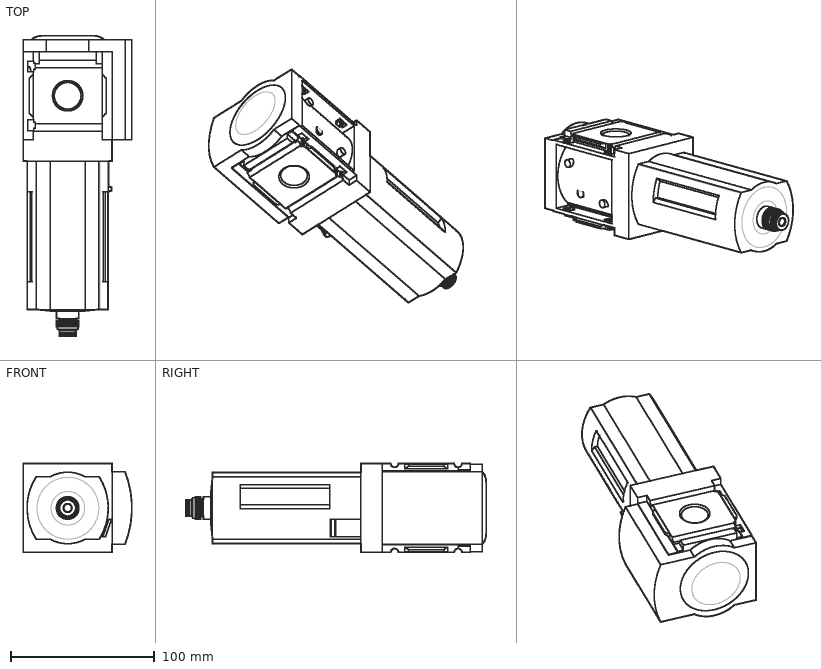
import cadquery as cq
import math


head_width = 62.0
half_width = head_width / 2
head_length = 84.5
collar_length = 14.7
core_half_height = 25.3
rail_half_height = 25.8
rear_strip_length = 8.4
pad_end = head_length - rear_strip_length

dome_height = 2.7
dome_radius = core_half_height
dome_flat_radius = 18.0

cover_end = 44.8
cover_shoulder = 40.0

strip_bulge_half_width = 14.9
strip_bulge_top = 30.5

pad_half_width = 24.0
pad_step_half_width = 19.9
pad_step_height = 26.5
groove_radius = 2.62
groove_ys = (23.5, 67.6)
port_y = 45.5
port_diameter = 18.6
port_rim_diameter = 21.1
port_depth = 21.0

lug_overhang = 2.7
lug_base_length = 29.7
lug_outer_length = 24.3
lug_bottom = 27.2
lug_slope_top = 29.0
lug_top = 30.5

slot_ys = (25.0, 66.0)
slot_wide_length = 7.3
slot_narrow_length = 4.2
slot_outer_x = 27.6
slot_step_x = 23.7
slot_inner_x = 22.5

window_start = 17.2
window_end = 73.3
window_half_height = 23.0
window_floor_x = 19.5
bulge_apex_x = 29.3
bulge_half_height = 21.0
bulge_edge_x = 20.0
bulge_foot_half_height = 22.5
studs = (
    (-30.0, 62.8, 11.0, 5.5),
    (-28.5, 51.5, -8.4, 6.0),
    (-30.0, 28.0, -11.0, 5.5),
)

bowl_length = 103.5
bowl_radius = 25.0
bowl_half_height = 21.8
bowl_shoulder_x = 21.8
bowl_bevel = 0.5
bowl_side_x = 28.3

end_cone_radius = 21.5
end_flat_radius = 11.7
end_cone_height = 1.0

sight_start = 21.5
sight_length = 62.4
sight_bottom = -0.5
sight_top = 16.3
sight_depth = 4.2
sight_slope_depth = 2.0
sight_wall_run = 2.7

nipple_radius = 7.85
flange_radius = 7.22
neck_radius = 5.75
barb_radius = 6.3
tail_radius = 5.55
tail_ring_radius = 5.9
nipple_bore_diameter = 5.5
nipple_rim_diameter = 6.0
nipple_bore_depth = 6.3
nipple_rim_depth = 0.6

latch_bottom = -19.9
latch_rise = (4.2, 12.0)
latch_root_x = 21.8
latch_face_x = 24.5
latch_knob_x = 26.4
latch_length = 21.4
latch_knob_length = 3.8
latch_knob_taper = 0.6


def block(x_range, y_range, z_range):
    """A box given by its limits along X, Y and Z."""
    sizes = [high - low for low, high in (x_range, y_range, z_range)]
    corner = (x_range[0], y_range[0], z_range[0])
    return cq.Workplane("XY").box(*sizes, centered=False).translate(corner)


def both_ways(size):
    return (-size, size)


def along_y(start):
    """An XZ sketch plane at y = start whose extrusions run toward -Y."""
    return cq.Workplane("XZ", origin=(0, start, 0))


def side_cover():
    return (
        along_y(head_length)
        .moveTo(0, -core_half_height)
        .lineTo(cover_shoulder, -core_half_height)
        .threePointArc((cover_end, 0), (cover_shoulder, core_half_height))
        .lineTo(0, core_half_height)
        .close()
        .extrude(head_length - collar_length)
    )


def rear_dome():
    rise = dome_height
    run = dome_radius - dome_flat_radius
    edge_radius = (run**2 + rise**2) / (2 * rise)
    half_angle = math.atan2(run, edge_radius - rise) / 2
    mid_point = (
        dome_flat_radius + edge_radius * math.sin(half_angle),
        head_length + rise - edge_radius * (1 - math.cos(half_angle)),
    )
    return (
        cq.Workplane("XY")
        .moveTo(0, head_length)
        .lineTo(dome_radius, head_length)
        .threePointArc(mid_point, (dome_flat_radius, head_length + rise))
        .lineTo(0, head_length + rise)
        .close()
        .revolve(360, (0, 0, 0), (0, 1, 0))
    )


def strip_bulge():
    return (
        along_y(head_length)
        .moveTo(-strip_bulge_half_width, 0)
        .lineTo(-strip_bulge_half_width, core_half_height)
        .threePointArc((0, strip_bulge_top), (strip_bulge_half_width, core_half_height))
        .lineTo(strip_bulge_half_width, 0)
        .close()
        .extrude(rear_strip_length)
    )


def pad_lugs():
    """The tapered lugs on both sides of the pad, undercut by a slope."""
    reach = pad_half_width + lug_overhang
    section = (
        along_y(pad_end)
        .polyline([
            (-pad_half_width, lug_bottom),
            (pad_half_width, lug_bottom),
            (reach, lug_slope_top),
            (reach, lug_top),
            (-reach, lug_top),
            (-reach, lug_slope_top),
        ])
        .close()
        .extrude(pad_end)
    )
    base = lug_base_length / 2
    tip = lug_outer_length / 2
    outline = (
        cq.Workplane("XY", origin=(0, port_y, 0))
        .polyline([
            (pad_half_width, -base),
            (reach, -tip),
            (reach, tip),
            (pad_half_width, base),
            (-pad_half_width, base),
            (-reach, tip),
            (-reach, -tip),
            (-pad_half_width, -base),
        ])
        .close()
        .extrude(half_width)
    )
    return section.intersect(outline)


def port_pad():
    step_y = groove_ys[1]
    heights = (0, half_width)
    pad = block(both_ways(pad_half_width), (0, step_y), heights)
    pad = pad.union(block(both_ways(pad_half_width), (step_y, pad_end), (0, pad_step_height)))
    pad = pad.union(block(both_ways(pad_step_half_width), (step_y, pad_end), heights))
    pad = pad.union(pad_lugs())
    for y in groove_ys:
        groove = cq.Workplane("YZ", origin=(-pad_half_width, y, half_width)).circle(groove_radius)
        pad = pad.cut(groove.extrude(2 * pad_half_width))
    return pad


def port():
    rim_depth = (port_rim_diameter - port_diameter) / 2
    bore = (
        cq.Workplane("XY", origin=(0, port_y, half_width))
        .circle(port_diameter / 2)
        .extrude(-port_depth)
    )
    rim = cq.Solid.makeCone(
        port_rim_diameter / 2,
        port_diameter / 2,
        rim_depth,
        cq.Vector(0, port_y, half_width),
        cq.Vector(0, 0, -1),
    )
    return bore.union(cq.Workplane(rim))


def rail_slots():
    """T-shaped slots from the top face through the rail into the side window."""
    heights = (bulge_half_height, half_width)
    slots = cq.Workplane("XY")
    for y in slot_ys:
        wide = both_ways(slot_wide_length / 2)
        narrow = both_ways(slot_narrow_length / 2)
        slot = block((-slot_outer_x, -slot_step_x), wide, heights)
        slot = slot.union(block((-slot_step_x, -slot_inner_x), narrow, heights))
        slots = slots.union(slot.translate((0, y, 0)))
    return slots


def window_cut():
    """The open side window, leaving a convex bulge standing on its floor."""
    length = window_end - window_start
    window = block(
        (-half_width, -window_floor_x),
        (window_start, window_end),
        both_ways(window_half_height),
    )
    bulge = (
        along_y(window_end)
        .moveTo(-window_floor_x, -bulge_foot_half_height)
        .lineTo(-bulge_edge_x, -bulge_half_height)
        .threePointArc((-bulge_apex_x, 0), (-bulge_edge_x, bulge_half_height))
        .lineTo(-window_floor_x, bulge_foot_half_height)
        .close()
        .extrude(length)
    )
    return window.cut(bulge)


def window_studs():
    pins = cq.Workplane("XY")
    for end_x, y, z, diameter in studs:
        pin = cq.Workplane("YZ", origin=(end_x, y, z)).circle(diameter / 2)
        pins = pins.union(pin.extrude(-window_floor_x - end_x))
    return pins


def make_head():
    width = both_ways(half_width)
    head = block(width, (0, head_length), both_ways(core_half_height))
    head = head.union(block(width, (0, pad_end), both_ways(rail_half_height)))
    head = head.union(block(width, (0, collar_length), width))
    head = head.union(side_cover()).union(rear_dome())

    upper = port_pad().union(strip_bulge())
    head = head.union(upper).union(upper.mirror("XY"))

    head = head.cut(window_cut())
    for cutter in (port(), rail_slots()):
        head = head.cut(cutter).cut(cutter.mirror("XY"))
    return head.union(window_studs())


side_edge_x = bowl_shoulder_x + bowl_bevel
side_edge_z = bowl_half_height - bowl_bevel


def bowl_barrel():
    barrel = along_y(0).circle(bowl_radius).extrude(bowl_length)
    flanks = (
        along_y(0)
        .moveTo(-bowl_shoulder_x, -bowl_half_height)
        .lineTo(bowl_shoulder_x, -bowl_half_height)
        .lineTo(side_edge_x, -side_edge_z)
        .threePointArc((bowl_side_x, 0), (side_edge_x, side_edge_z))
        .lineTo(bowl_shoulder_x, bowl_half_height)
        .lineTo(-bowl_shoulder_x, bowl_half_height)
        .lineTo(-side_edge_x, side_edge_z)
        .threePointArc((-bowl_side_x, 0), (-side_edge_x, -side_edge_z))
        .close()
        .extrude(bowl_length)
    )
    return barrel.union(flanks)


def side_x(z):
    """X of the curved bowl side at height z."""
    sagitta = bowl_side_x - side_edge_x
    radius = (side_edge_z**2 + sagitta**2) / (2 * sagitta)
    return bowl_side_x - radius + math.sqrt(radius**2 - z**2)


def sight_pocket():
    """Pocket in the +X side: sloping walls and a floor curved like the bowl."""
    floor_bottom = sight_bottom + sight_wall_run
    floor_top = sight_top - sight_wall_run
    floor_middle = (floor_bottom + floor_top) / 2
    return (
        along_y(-sight_start)
        .moveTo(side_x(sight_bottom), sight_bottom)
        .lineTo(side_x(floor_bottom) - sight_slope_depth, floor_bottom)
        .lineTo(side_x(floor_bottom) - sight_depth, floor_bottom)
        .threePointArc(
            (side_x(floor_middle) - sight_depth, floor_middle),
            (side_x(floor_top) - sight_depth, floor_top),
        )
        .lineTo(side_x(sight_top), sight_top)
        .lineTo(bowl_side_x + sight_depth, sight_top)
        .lineTo(bowl_side_x + sight_depth, sight_bottom)
        .close()
        .extrude(sight_length)
    )


def latch():
    """Slanted unlocking slide with a small knob at its end."""
    knob_start = latch_knob_length - latch_length
    outline = [
        (latch_root_x, 0),
        (latch_face_x, 0),
        (latch_face_x, knob_start),
        (latch_knob_x, knob_start - latch_knob_taper),
        (latch_knob_x, latch_knob_taper - latch_length),
        (latch_face_x, -latch_length),
        (latch_root_x, -latch_length),
    ]
    points = [cq.Vector(x, y, latch_bottom) for x, y in outline]
    wire = cq.Wire.makePolygon(points, close=True)
    rise_x, rise_z = latch_rise
    return cq.Workplane(cq.Solid.extrudeLinear(wire, [], cq.Vector(rise_x, 0, rise_z)))


def bowl_end():
    """Shallow end cone and the grooved drain nipple, turned about Y."""
    steps = [
        (5.2, nipple_radius),
        (1.0, neck_radius),
        (0.6, barb_radius),
        (1.0, nipple_radius),
        (1.0, barb_radius),
        (0.6, nipple_radius),
        (0.6, flange_radius),
        (0.6, nipple_radius),
        (1.9, flange_radius),
        (0.6, barb_radius),
        (1.5, tail_radius),
        (0.6, tail_ring_radius),
        (0.8, tail_radius),
        (1.3, tail_ring_radius),
    ]
    y = -bowl_length
    outline = [(0, y), (end_cone_radius, y)]
    y -= end_cone_height
    outline.append((end_flat_radius, y))
    for length, radius in steps:
        outline.append((radius, y))
        y -= length
        outline.append((radius, y))
    tip = y
    outline.append((0, tip))
    turned = cq.Workplane("XY").polyline(outline).close().revolve(360, (0, 0, 0), (0, 1, 0))

    mouth = along_y(tip + nipple_rim_depth).circle(nipple_rim_diameter / 2).extrude(nipple_rim_depth)
    bore = along_y(tip + nipple_bore_depth).circle(nipple_bore_diameter / 2).extrude(nipple_bore_depth)
    return turned.cut(mouth).cut(bore)


def make_bowl():
    bowl = bowl_barrel()
    pocket = sight_pocket()
    bowl = bowl.cut(pocket).cut(pocket.mirror("YZ"))
    return bowl.union(latch()).union(bowl_end())


head = make_head()
bowl = make_bowl()
result = cq.Compound.makeCompound([head.val(), bowl.val()])